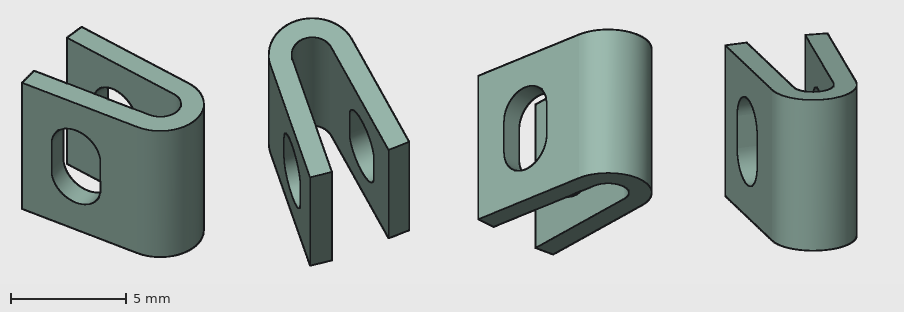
import cadquery as cq
import math

thickness = 1.0
inner_radius = 0.9
overall_length = 7.79
height = 7.0
spread_angle = 8.6
slot_width = 2.5
slot_height = 4.005
slot_from_free_end = 2.76

outer_radius = inner_radius + thickness
bend_x = overall_length - outer_radius
bend_y = outer_radius
sin_spread = math.sin(math.radians(spread_angle))
cos_spread = math.cos(math.radians(spread_angle))

rear_leg_length = (bend_x + inner_radius * sin_spread) / cos_spread


def rear_point(along, radius):
    """Point on the rear leg: distance from its bend line and offset from the bend centre."""
    return (
        bend_x + radius * sin_spread - along * cos_spread,
        bend_y + radius * cos_spread + along * sin_spread,
    )


def bent_strip():
    """U-shaped strip with a straight front leg and a splayed rear leg."""
    return (
        cq.Workplane("XY")
        .moveTo(0, 0)
        .lineTo(bend_x, 0)
        .threePointArc((bend_x + outer_radius, bend_y), rear_point(0, outer_radius))
        .lineTo(*rear_point(rear_leg_length, outer_radius))
        .lineTo(*rear_point(rear_leg_length, inner_radius))
        .lineTo(*rear_point(0, inner_radius))
        .threePointArc((bend_x + inner_radius, bend_y), (bend_x, thickness))
        .lineTo(0, thickness)
        .close()
        .extrude(height)
    )


def slot_cutter(center, normal):
    """Upright round-ended slot, centred mid-thickness and cut square to a leg."""
    x, y = center
    plane = cq.Plane(origin=(x, y, height / 2), xDir=(0, 0, 1), normal=normal)
    return cq.Workplane(plane).slot2D(slot_height, slot_width).extrude(thickness, both=True)


middle_radius = inner_radius + thickness / 2
front_slot = slot_cutter((slot_from_free_end, thickness / 2), (0, 1, 0))
rear_slot = slot_cutter(
    rear_point(rear_leg_length - slot_from_free_end, middle_radius),
    (sin_spread, cos_spread, 0),
)

result = bent_strip().cut(front_slot).cut(rear_slot)